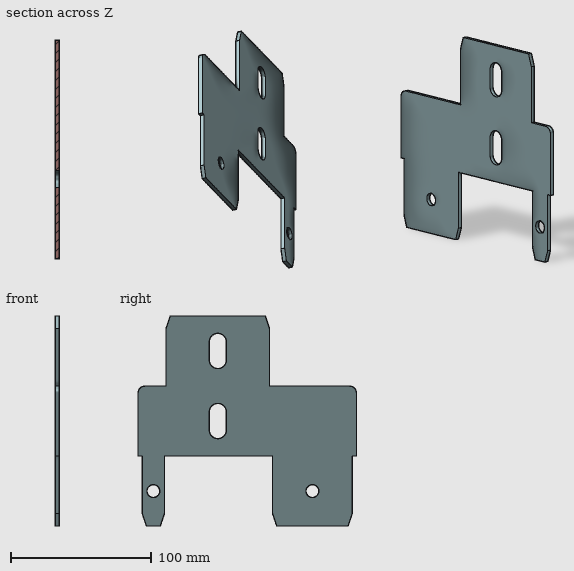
import cadquery as cq

thickness = 3.0
body_width = 156.0
tier_height = 50.0
corner_radius = 5.0

top_tab_width = 74.0
top_tab_y = -21.0
wide_leg_width = 57.0
narrow_leg_width = 16.0
edge_inset = 3.0
wide_leg_y = body_width / 2 - edge_inset - wide_leg_width / 2
narrow_leg_y = -(body_width / 2 - edge_inset - narrow_leg_width / 2)

taper_width = 3.0
taper_height = 9.0

slot_length = 25.0
slot_width = 12.0
hole_diameter = 9.0

body_top = tier_height / 2
body_bottom = -tier_height / 2


def make_body():
    """Central rectangle with its two upper corners rounded."""
    body = cq.Workplane("YZ").rect(body_width, tier_height).extrude(thickness / 2, both=True)
    return body.edges("|X and >Z").fillet(corner_radius)


def make_tab(center_y, width, root_z, direction):
    """Tab growing from root_z, upward (direction 1) or downward (-1), tapered at its tip."""
    half_width = width / 2
    tip_half_width = half_width - taper_width
    tip_z = root_z + direction * tier_height
    shoulder_z = tip_z - direction * taper_height
    outline = [
        (center_y - half_width, root_z),
        (center_y - half_width, shoulder_z),
        (center_y - tip_half_width, tip_z),
        (center_y + tip_half_width, tip_z),
        (center_y + half_width, shoulder_z),
        (center_y + half_width, root_z),
    ]
    return cq.Workplane("YZ").polyline(outline).close().extrude(thickness / 2, both=True)


def make_slots():
    """Vertical through slots: one mid-height in the top tab, one mid-height in the body."""
    centers = [(top_tab_y, 0), (top_tab_y, tier_height)]
    slots = cq.Workplane("YZ").pushPoints(centers).slot2D(slot_length, slot_width, 90)
    return slots.extrude(thickness, both=True)


def make_leg_holes():
    """Round through hole at the middle of each leg."""
    centers = [(leg_y, -tier_height) for leg_y in (wide_leg_y, narrow_leg_y)]
    holes = cq.Workplane("YZ").pushPoints(centers).circle(hole_diameter / 2)
    return holes.extrude(thickness, both=True)


plate = make_body()
plate = plate.union(make_tab(top_tab_y, top_tab_width, body_top, 1))
plate = plate.union(make_tab(wide_leg_y, wide_leg_width, body_bottom, -1))
plate = plate.union(make_tab(narrow_leg_y, narrow_leg_width, body_bottom, -1))
plate = plate.clean()

result = plate.cut(make_slots()).cut(make_leg_holes())